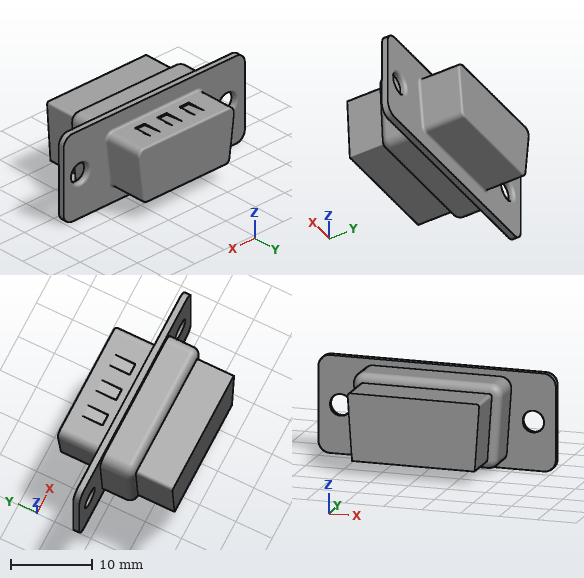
import cadquery as cq
import math

flange_width = 30.8
flange_height = 12.55
flange_thickness = 0.85
flange_corner_radius = 1.5
screw_hole_diameter = 2.77
screw_hole_spacing = 25.02
screw_hole_back_radius = 0.43

front_flank_angle = 4.0
rear_flank_angle = 7.0

shell_length = 4.35
shell_height = 10.88
shell_top_width = 19.53
shell_top_radius = 1.42
shell_bottom_radius = 1.2
shell_rim_radius = 1.05

plug_length = 5.05
plug_height = 8.65
plug_top_width = 17.13
plug_top_radius = 0.37
plug_bottom_radius = 0.1

rear_length = 5.85
rear_height = 7.92
rear_top_width = 16.58
rear_top_radius = 1.02
rear_bottom_radius = 0.77
rear_end_radius = 0.28
rear_root_radius = 0.35

latch_count = 3
latch_pitch = 3.75
latch_width = 1.57
latch_length = 2.7
latch_depth = 0.25
latch_gap_to_flange = 1.4


def d_block(top_width, height, flank_angle, length, top_radius, bottom_radius, front_y):
    """D-shaped block, symmetric about x = 0 and z = 0, running from front_y toward +Y."""
    top_half = top_width / 2
    bottom_half = top_half - height * math.tan(math.radians(flank_angle))
    corners = [
        (-top_half, height / 2),
        (top_half, height / 2),
        (bottom_half, -height / 2),
        (-bottom_half, -height / 2),
    ]
    block = cq.Workplane("XZ", origin=(0, front_y, 0)).polyline(corners).close().extrude(-length)
    block = block.faces(">Z").edges("|Y").fillet(top_radius)
    return block.faces("<Z").edges("|Y").fillet(bottom_radius)


def make_flange():
    plate = cq.Workplane("XZ").rect(flange_width, flange_height).extrude(-flange_thickness)
    plate = plate.edges("|Y").fillet(flange_corner_radius)
    hole_x = screw_hole_spacing / 2
    holes = (
        cq.Workplane("XZ")
        .pushPoints([(-hole_x, 0), (hole_x, 0)])
        .circle(screw_hole_diameter / 2)
        .extrude(-flange_thickness)
    )
    plate = plate.cut(holes)
    back_rims = plate.faces(">Y").val().innerWires()
    back_edges = [edge for rim in back_rims for edge in rim.Edges()]
    return plate.newObject(back_edges).fillet(screw_hole_back_radius)


def make_shell():
    shell = d_block(
        top_width=shell_top_width,
        height=shell_height,
        flank_angle=front_flank_angle,
        length=shell_length,
        top_radius=shell_top_radius,
        bottom_radius=shell_bottom_radius,
        front_y=-shell_length,
    )
    return shell.faces("<Y").edges().fillet(shell_rim_radius)


def make_plug():
    return d_block(
        top_width=plug_top_width,
        height=plug_height,
        flank_angle=front_flank_angle,
        length=plug_length,
        top_radius=plug_top_radius,
        bottom_radius=plug_bottom_radius,
        front_y=-shell_length - plug_length,
    )


def make_rear_body():
    body = d_block(
        top_width=rear_top_width,
        height=rear_height,
        flank_angle=rear_flank_angle,
        length=rear_length,
        top_radius=rear_top_radius,
        bottom_radius=rear_bottom_radius,
        front_y=flange_thickness,
    )
    return body.faces(">Y").edges().fillet(rear_end_radius)


def fillet_rear_root(connector):
    """Concave fillet where the rear body meets the back of the flange."""
    margin = 0.03
    root_zone = cq.selectors.BoxSelector(
        (-rear_top_width / 2 - margin, flange_thickness - margin, -rear_height / 2 - margin),
        (rear_top_width / 2 + margin, flange_thickness + margin, rear_height / 2 + margin),
    )
    return connector.edges(root_zone).fillet(rear_root_radius)


def make_latch_recess(center_x):
    """Wedge whose floor slopes from full depth near the flange up to the surface."""
    top_z = rear_height / 2
    near_y = flange_thickness + latch_gap_to_flange
    profile = [
        (near_y, top_z),
        (near_y, top_z - latch_depth),
        (near_y + latch_length, top_z),
    ]
    start_x = center_x - latch_width / 2
    return cq.Workplane("YZ", origin=(start_x, 0, 0)).polyline(profile).close().extrude(latch_width)


connector = make_flange().union(make_shell()).union(make_plug()).union(make_rear_body())
connector = fillet_rear_root(connector)

for index in range(latch_count):
    latch_x = (index - (latch_count - 1) / 2) * latch_pitch
    connector = connector.cut(make_latch_recess(latch_x))

result = connector